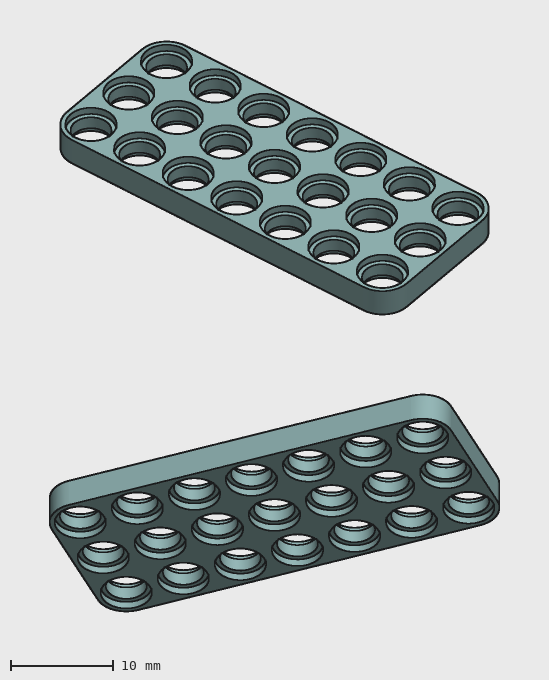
import cadquery as cq

pitch = 6.0
columns = 7
rows = 3
thickness = 3.0
hole_diameter = 4.0
counterbore_diameter = 5.0
counterbore_depth = 0.8

length = columns * pitch
width = rows * pitch
corner_radius = pitch / 2


def make_plate():
    """Rounded plate, centred in X and Y, with its underside at Z = 0."""
    plate = cq.Workplane("XY").box(length, width, thickness, centered=(True, True, False))
    return plate.edges("|Z").fillet(corner_radius)


def cylinder_grid(diameter, bottom, height):
    """One upright cylinder per grid cell, starting at Z = bottom."""
    return (
        cq.Workplane("XY", origin=(0, 0, bottom))
        .rarray(pitch, pitch, columns, rows)
        .circle(diameter / 2)
        .extrude(height)
    )


def cut_hole_grid(plate):
    """Cut a through hole, counterbored equally from both faces, in every grid cell."""
    plate = plate.cut(cylinder_grid(hole_diameter, 0, thickness))
    for bottom in (0, thickness - counterbore_depth):
        plate = plate.cut(cylinder_grid(counterbore_diameter, bottom, counterbore_depth))
    return plate


result = cut_hole_grid(make_plate())